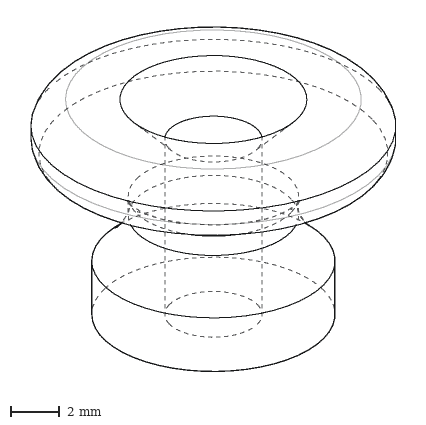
import cadquery as cq

rim_radius = 7.5
height = rim_radius * 4 / 3
base_radius = height / 2
base_height = height / 4
hole_radius = rim_radius * 4 / 15

neck_radius = rim_radius * 7 / 15
neck_bottom = 4.6
neck_top = 5.5

rim_lower_radius = 7.17
rim_lower_z = 7.5
rim_band_bottom = 8.18
rim_band_top = 8.8
top_face_radius = 6.08

sink_radius = 3.84
sink_angle = 90

lower_flare_middle = (3.93, 3.68)
upper_flare_inner = (4.17, 6.35)
upper_flare_outer = (5.43, 6.96)

rim_lower_middle = (7.4, 7.82)
rim_upper_middle = (7.0, 9.6)

outer_profile = (
    cq.Workplane("XZ")
    .lineTo(base_radius, 0)
    .lineTo(base_radius, base_height)
    .threePointArc(lower_flare_middle, (neck_radius, neck_bottom))
    .lineTo(neck_radius, neck_top)
    .spline(
        [upper_flare_inner, upper_flare_outer, (rim_lower_radius, rim_lower_z)],
        includeCurrent=True,
    )
    .threePointArc(rim_lower_middle, (rim_radius, rim_band_bottom))
    .lineTo(rim_radius, rim_band_top)
    .threePointArc(rim_upper_middle, (top_face_radius, height))
    .lineTo(0, height)
    .close()
)
body = outer_profile.revolve(360, (0, 0, 0), (0, 1, 0))

result = body.faces(">Z").workplane().cskHole(2 * hole_radius, 2 * sink_radius, sink_angle)